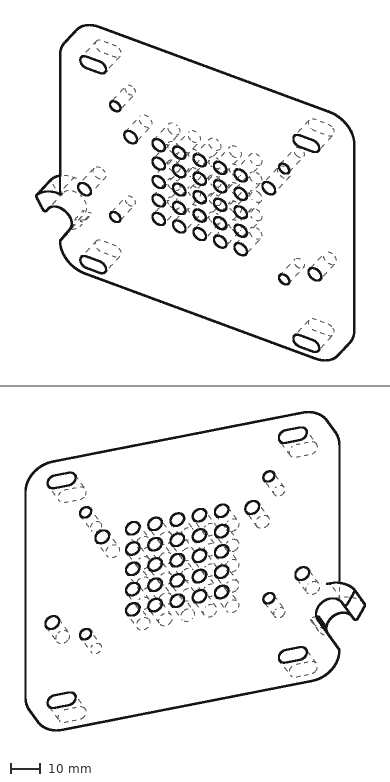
import cadquery as cq
import math

overall_width = 118.8
plate_width = 109.9
plate_height = 101.0
thickness = 10.0
corner_radius = 10.0
rim_round = 1.0
left_edge = -plate_width / 2
bottom_edge = -plate_height / 2

throat_center_x = left_edge
throat_center_z = bottom_edge + 20.1
throat_radius = 5.0
hook_radius = 11.0
opening_angle = 240.0
tip_face_angle = 60.0
tip_round = 0.8
tip_setback = 0.15
opening_length = 23.8

pocket_width = 5.6
pocket_radius = 7.0
pocket_axis_offset = 2.4
pocket_roof_rise = 0.4

grid_count = 5
grid_pitch = 8.0
grid_center_z = 1.5
grid_hole_diameter = 4.9
large_hole_diameter = 5.0
upper_hole_spacing = 54.0
lower_hole_spacing = 90.0
large_hole_rise = 15.0
small_hole_diameter = 4.0
small_hole_spacing_x = 66.0
small_hole_spacing_z = 48.0
small_hole_center_z = 3.5
slot_hole_length = 10.1
slot_hole_width = 5.0
slot_hole_spacing_x = 83.2
slot_hole_spacing_z = 86.6
slot_hole_center_z = -1.4


def back_face_plane():
    """XZ workplane on the back face; extruding runs toward -Y."""
    return cq.Workplane("XZ", origin=(0, thickness, 0))


def around_throat(radius, angle):
    """Point at a polar position around the throat centre."""
    turn = math.radians(angle)
    return (
        throat_center_x + radius * math.cos(turn),
        throat_center_z + radius * math.sin(turn),
    )


def make_plate():
    return (
        back_face_plane()
        .rect(plate_width, plate_height)
        .extrude(thickness)
        .edges("|Y")
        .fillet(corner_radius)
        .faces("<Y or >Y")
        .edges()
        .fillet(rim_round)
    )


def make_hook():
    """Arm bounded by the outer arc and a flat tip face, with both tip corners rounded."""
    tip_x = plate_width / 2 - overall_width - tip_setback
    root_x = left_edge + rim_round
    top_z = throat_center_z + hook_radius
    tip_angle = 180 - math.degrees(math.acos((throat_center_x - tip_x) / hook_radius))
    tip_outer = around_throat(hook_radius, tip_angle)
    slope = math.tan(math.radians(tip_face_angle))
    wall_x, wall_z = around_throat(throat_radius, opening_angle - 90)
    tip_point_x = (tip_outer[0] + wall_x) / 2 + (tip_outer[1] - wall_z) / (2 * slope)
    tip_point_z = tip_outer[1] - slope * (tip_point_x - tip_outer[0])
    return (
        back_face_plane()
        .moveTo(root_x, wall_z)
        .lineTo(root_x, top_z)
        .lineTo(throat_center_x, top_z)
        .threePointArc(around_throat(hook_radius, (90 + tip_angle) / 2), tip_outer)
        .lineTo(tip_point_x, tip_point_z)
        .lineTo(wall_x, wall_z)
        .close()
        .extrude(thickness)
        .edges("|Y")
        .edges("<X or <Z")
        .fillet(tip_round)
    )


def make_throat():
    """Round-ended slot that opens obliquely downward past the left edge."""
    bore = round_holes([(throat_center_x, throat_center_z)], 2 * throat_radius)
    opening = (
        cq.Workplane("XY")
        .box(opening_length, thickness, 2 * throat_radius, centered=(False, False, True))
        .rotate((0, 0, 0), (0, 1, 0), -opening_angle)
        .translate((throat_center_x, 0, throat_center_z))
    )
    return bore.union(opening)


def make_pocket():
    """Part of a drum, kept only below the flat roof."""
    x, z = around_throat(pocket_axis_offset, opening_angle - 180)
    drum = (
        cq.Workplane("XZ", origin=(x, (thickness + pocket_width) / 2, z))
        .circle(pocket_radius)
        .extrude(pocket_width)
    )
    below_roof = (
        cq.Workplane("XY", origin=(x, thickness / 2, throat_center_z + pocket_roof_rise))
        .rect(2 * pocket_radius, 2 * pocket_width)
        .extrude(-2 * pocket_radius)
    )
    return drum.intersect(below_roof)


def grid_points(count_x, count_z, pitch_x, pitch_z, center_z):
    """Rectangular array of points, centred on X = 0 and on the given height."""
    return [
        ((i - (count_x - 1) / 2) * pitch_x, center_z + (j - (count_z - 1) / 2) * pitch_z)
        for i in range(count_x)
        for j in range(count_z)
    ]


def round_holes(points, diameter):
    return back_face_plane().pushPoints(points).circle(diameter / 2).extrude(thickness)


def slot_holes(points):
    return back_face_plane().pushPoints(points).slot2D(slot_hole_length, slot_hole_width).extrude(thickness)


grid_holes = grid_points(grid_count, grid_count, grid_pitch, grid_pitch, grid_center_z)
upper_holes = grid_points(2, 1, upper_hole_spacing, 0, grid_center_z + large_hole_rise)
lower_holes = grid_points(2, 1, lower_hole_spacing, 0, grid_center_z - large_hole_rise)
small_holes = grid_points(2, 2, small_hole_spacing_x, small_hole_spacing_z, small_hole_center_z)
corner_slots = grid_points(2, 2, slot_hole_spacing_x, slot_hole_spacing_z, slot_hole_center_z)

result = (
    make_plate()
    .union(make_hook())
    .cut(make_throat())
    .cut(make_pocket())
    .cut(round_holes(grid_holes, grid_hole_diameter))
    .cut(round_holes(upper_holes + lower_holes, large_hole_diameter))
    .cut(round_holes(small_holes, small_hole_diameter))
    .cut(slot_holes(corner_slots))
)